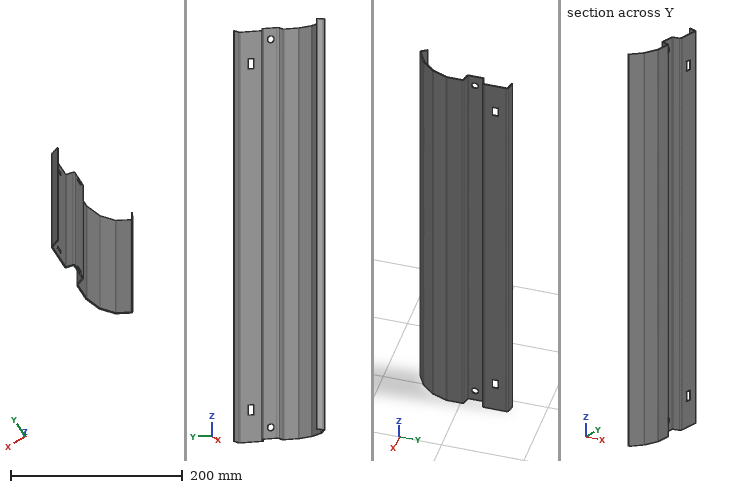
import cadquery as cq
import math

LENGTH = 490.0
THICKNESS = 1.5
INNER_BEND_RADIUS = 1.0
OUTER_BEND_RADIUS = INNER_BEND_RADIUS + THICKNESS
MID_BEND_RADIUS = INNER_BEND_RADIUS + THICKNESS / 2
DEPTH = 42.02
WIDTH = 120.12

FLANGE_TILT = math.radians(15)
FLANGE_RUN = 10.09
FLANGE_COUNT = 3
FLANGE_DROP = FLANGE_RUN * math.tan(FLANGE_TILT)
WEB_WIDTH = 29.31
CHANNEL_WIDTH = 19.18

SKIRT_TILTS = [math.radians(angle) for angle in (20, 40, 60)]
LAST_TILT = SKIRT_TILTS[-1]
FACET_LENGTH = 19.47
SKIRT_REACH = FACET_LENGTH * sum(math.sin(tilt) for tilt in SKIRT_TILTS)
SKIRT_DROP = FACET_LENGTH * sum(math.cos(tilt) for tilt in SKIRT_TILTS)

HOOK_REACH = DEPTH - SKIRT_REACH - THICKNESS / 2 * (1 + math.sin(LAST_TILT))
HOOK_RISE = HOOK_REACH * math.tan(LAST_TILT)

LIP_RISE = THICKNESS / 2 * math.cos(FLANGE_TILT)
HOOK_BEND_DROP = OUTER_BEND_RADIUS - MID_BEND_RADIUS * (math.sin(LAST_TILT) + math.cos(LAST_TILT))
STRAIGHT_WIDTH = (
    WIDTH - LIP_RISE - FLANGE_COUNT * FLANGE_DROP - WEB_WIDTH - CHANNEL_WIDTH - SKIRT_DROP - HOOK_BEND_DROP
)

SLOT_WIDTH = 7.0
SLOT_HEIGHT = 12.0
SLOT_FROM_TOP = 18.1
SLOT_FROM_END = 38.5
HOLE_DIAMETER = 8.0
HOLE_FROM_TOP = 45.6
HOLE_FROM_END = 13.5


def profile_steps():
    """Mid-line moves (dx, dy) from the lip's free edge to the hook's free edge."""
    steps = [
        (FLANGE_RUN, -FLANGE_DROP),
        (0.0, -WEB_WIDTH),
        (-FLANGE_RUN, -FLANGE_DROP),
        (0.0, -CHANNEL_WIDTH),
        (FLANGE_RUN, -FLANGE_DROP),
        (0.0, -STRAIGHT_WIDTH),
    ]
    for tilt in SKIRT_TILTS:
        steps.append((-FACET_LENGTH * math.sin(tilt), -FACET_LENGTH * math.cos(tilt)))
    steps.append((-HOOK_REACH, HOOK_RISE))
    return steps


def mid_line():
    """Corner points of the sheet's mid-line, placed for a part centred on X and Y."""
    x = DEPTH / 2 - THICKNESS / 2 - FLANGE_RUN
    y = WIDTH / 2 - LIP_RISE
    points = [(x, y)]
    for dx, dy in profile_steps():
        x += dx
        y += dy
        points.append((x, y))
    return points


def side_line(points, offset):
    """Polyline parallel to the mid-line, with mitred corners and square ends."""
    directions = []
    for (x0, y0), (x1, y1) in zip(points, points[1:]):
        span = math.hypot(x1 - x0, y1 - y0)
        directions.append(((x1 - x0) / span, (y1 - y0) / span))
    before = directions[:1] + directions
    after = directions + directions[-1:]
    shifted = []
    for (x, y), (ax, ay), (bx, by) in zip(points, before, after):
        mitre = offset / (1 + ax * bx + ay * by)
        shifted.append((x - mitre * (ay + by), y + mitre * (ax + bx)))
    return shifted


def turns_left(a, b, c):
    """True if the path a-b-c turns counter-clockwise at b."""
    return (b[0] - a[0]) * (c[1] - b[1]) - (b[1] - a[1]) * (c[0] - b[0]) > 0


def round_bends(body, corners, radius):
    """Round the full-length edges that stand on the given profile corners."""
    edges = [body.edges(cq.NearestToPointSelector((x, y, 0))).val() for x, y in corners]
    return body.newObject(edges).fillet(radius)


def bent_sheet():
    """The strip without holes, with concentric inner and outer bend radii."""
    points = mid_line()
    left = side_line(points, THICKNESS / 2)
    right = side_line(points, -THICKNESS / 2)
    body = cq.Workplane("XY").polyline(left + right[::-1]).close().extrude(LENGTH / 2, both=True)
    inner = []
    outer = []
    for i in range(1, len(points) - 1):
        if turns_left(*points[i - 1:i + 2]):
            inner.append(left[i])
            outer.append(right[i])
        else:
            inner.append(right[i])
            outer.append(left[i])
    body = round_bends(body, inner, INNER_BEND_RADIUS)
    return round_bends(body, outer, OUTER_BEND_RADIUS)


def mirrored_positions(from_top, from_end):
    """Two (y, z) places, one near each end of the strip."""
    y = WIDTH / 2 - from_top
    z = LENGTH / 2 - from_end
    return [(y, z), (y, -z)]


def slot_cutters():
    """Rectangular slots through the mounting web."""
    places = mirrored_positions(SLOT_FROM_TOP, SLOT_FROM_END)
    return cq.Workplane("YZ").pushPoints(places).rect(SLOT_WIDTH, SLOT_HEIGHT).extrude(DEPTH, both=True)


def hole_cutters():
    """Round holes through the channel floor."""
    places = mirrored_positions(HOLE_FROM_TOP, HOLE_FROM_END)
    return cq.Workplane("YZ").pushPoints(places).circle(HOLE_DIAMETER / 2).extrude(DEPTH, both=True)


result = bent_sheet().cut(slot_cutters()).cut(hole_cutters())